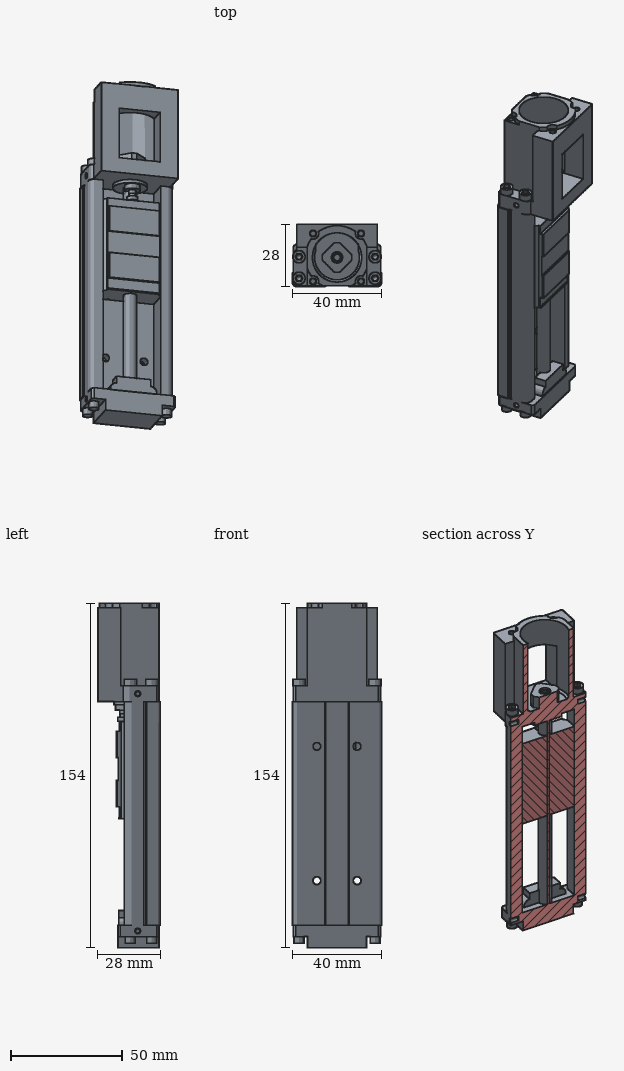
import cadquery as cq


tab_height = 5.0
lower_flange_height = 5.0
body_length = 100.0
upper_flange_height = 7.0
total_length = 154.0
cap_height = 2.0
body_bottom = tab_height + lower_flange_height
body_top = body_bottom + body_length
flange_top = body_top + upper_flange_height
cap_bottom = total_length - cap_height

body_half_width = 20.0
side_half_width = 19.6
body_back = 16.2
back_round = 3.2
front_round = 2.2
bulge_top = 6.1
bulge_slope = 0.4
groove_bottom = 6.6
groove_top = 7.5
groove_depth = 1.0
front_groove_half_width = 5.4
front_groove_depth = 0.4
channel_half_width = 13.5
channel_floor = 5.0
mount_hole_diameter = 3.4
mount_hole_x = 9.0
mount_hole_heights = (30.0, 90.0)

flange_front = 0.5
lower_flange_back = 19.0
upper_flange_back = 16.9
upper_flange_round = 3.0
flange_chamfer = 1.1
block_half_width = 13.25
side_hole_diameter = 2.0
side_hole_mouth = 2.5
side_hole_depth = 4.0
side_hole_y = 10.1
stop_back = 18.6
stop_half_width = 8.0
stop_height = 6.7
stop_lower_height = 3.5
stop_lower_round = 2.8

screw_x = 17.0
screw_ys = (3.8, 13.4)
screw_head_height = 3.0
upper_head_diameter = 5.5
lower_head_diameter = 4.5
socket_diameter = 3.3
socket_depth = 1.5
socket_tip_diameter = 2.4
socket_tip_depth = 0.7

axis_y = 13.1
plate_half_width = 18.0
plate_front = 17.6
plate_back = 28.0
plate_chamfer = 0.25
cap_radius = 14.2
bore_diameter = 22.0
bore_floor = flange_top
floor_chamfer = 1.0
window_half_width = 9.5
window_top = 140.5
motor_hole_offset = 10.7
motor_hole_diameter = 2.5
motor_hole_mouth = 3.0
motor_hole_depth = 6.0
motor_hole_clearance = 5.0
hub_width = 11.0
hub_corner_chamfer = 1.6
hub_height = 6.0
hub_hole_diameter = 3.0
hub_hole_step_diameter = 4.0
hub_hole_mouth_diameter = 5.0
hub_hole_step = 1.0

lead_screw_diameter = 6.0
bearing_boss_diameter = 15.4
bearing_boss_bottom = 108.5
stud_y = 16.6
stud_steps = (
    (7.0, 106.2, bearing_boss_bottom),
    (3.3, 104.5, 106.2),
    (3.0, 103.0, 104.5),
    (5.0, 101.2, 103.0),
)

carriage_bottom = 57.6
carriage_top = 101.0
shoulder_y = 16.0
shoulder_chamfer = 1.4
carriage_end_back = 18.3
carriage_middle_back = 18.9
pad_back = 19.7
pad_chamfer = 0.5
pad_length = 11.8
pad_bottoms = (63.0, 85.0)
lip_length = 0.6
lip_back = 18.5
underside_groove_center = 7.9
underside_groove_width = 0.8
underside_groove_depth = 0.5


def box(x_min, x_max, y_min, y_max, z_min, z_max):
    """Axis-aligned block between the given limits."""
    size = (x_max - x_min, y_max - y_min, z_max - z_min)
    return cq.Workplane("XY").box(*size, centered=False).translate((x_min, y_min, z_min))


def cylinder(diameter, x, y, z_min, z_max):
    """Upright round bar."""
    bar = cq.Workplane("XY", origin=(x, y, z_min)).circle(diameter / 2)
    return bar.extrude(z_max - z_min)


def cone(diameter, end_diameter, x, y, z, height):
    """Upright cone that starts at z; a negative height points it down."""
    direction = cq.Vector(0, 0, 1 if height > 0 else -1)
    solid = cq.Solid.makeCone(diameter / 2, end_diameter / 2, abs(height), cq.Vector(x, y, z), direction)
    return cq.Workplane(obj=solid)


def channel_body():
    """Extruded U channel with mounting holes through its floor."""
    half = (
        cq.Workplane("XY", origin=(0, 0, body_bottom))
        .moveTo(0, front_groove_depth)
        .lineTo(front_groove_half_width - front_groove_depth, front_groove_depth)
        .lineTo(front_groove_half_width, 0)
        .lineTo(body_half_width - front_round, 0)
        .radiusArc((body_half_width, front_round), -front_round)
        .lineTo(body_half_width, bulge_top)
        .lineTo(side_half_width, bulge_top + bulge_slope)
        .lineTo(side_half_width - groove_depth, groove_bottom)
        .lineTo(side_half_width - groove_depth, groove_top)
        .lineTo(side_half_width, groove_top)
        .lineTo(side_half_width, body_back - back_round)
        .radiusArc((side_half_width - back_round, body_back), -back_round)
        .lineTo(channel_half_width, body_back)
        .lineTo(channel_half_width, channel_floor)
        .lineTo(0, channel_floor)
        .close()
        .extrude(body_length)
    )
    body = half.union(half.mirror("YZ"))
    hole_points = [(x, z) for x in (-mount_hole_x, mount_hole_x) for z in mount_hole_heights]
    holes = (
        cq.Workplane("XZ")
        .pushPoints(hole_points)
        .circle(mount_hole_diameter / 2)
        .extrude(-channel_floor)
    )
    return body.cut(holes)


def cut_side_holes(flange, z):
    """Countersunk blind hole in each side of a flange."""
    mouth_depth = (side_hole_mouth - side_hole_diameter) / 2
    for side in (-1, 1):
        inward = cq.Vector(-side, 0, 0)
        mouth = cq.Vector(side * side_half_width, side_hole_y, z)
        hole = cq.Solid.makeCylinder(side_hole_diameter / 2, side_hole_depth, mouth, inward)
        sink = cq.Solid.makeCone(side_hole_mouth / 2, side_hole_diameter / 2, mouth_depth, mouth, inward)
        flange = flange.cut(cq.Workplane(obj=hole)).cut(cq.Workplane(obj=sink))
    return flange


def stop_block():
    """Carriage stop on the lower flange, on a wider foot with rounded shoulders."""
    lower_top = body_bottom + stop_lower_height
    foot_half_width = stop_half_width + stop_lower_round
    upper = box(-stop_half_width, stop_half_width, axis_y, stop_back, lower_top, body_bottom + stop_height)
    foot = box(-foot_half_width, foot_half_width, axis_y, stop_back, body_bottom, lower_top)
    foot = foot.edges("|Y and >Z").fillet(stop_lower_round)
    return upper.union(foot)


def lower_flange():
    """Lower flange with its tab, stop block and screw heads."""
    flange = box(-side_half_width, side_half_width, flange_front, lower_flange_back, tab_height, body_bottom)
    flange = flange.edges("|Z").chamfer(flange_chamfer)
    flange = cut_side_holes(flange, tab_height + lower_flange_height / 2)
    tab = box(-block_half_width, block_half_width, flange_front, lower_flange_back, 0, tab_height)
    flange = flange.union(tab).union(stop_block())
    for x in (-screw_x, screw_x):
        for y in screw_ys:
            head = cylinder(lower_head_diameter, x, y, tab_height - screw_head_height, tab_height)
            flange = flange.union(head)
    return flange


def socket_head(x, y):
    """Screw head on the upper flange with a hexagon socket ending in a drill point."""
    top = flange_top + screw_head_height
    socket = (
        cq.Workplane("XY", origin=(x, y, top - socket_depth))
        .polygon(6, socket_diameter)
        .extrude(socket_depth)
    )
    point = cone(socket_tip_diameter, 0, x, y, top - socket_depth, -socket_tip_depth)
    return cylinder(upper_head_diameter, x, y, flange_top, top).cut(socket).cut(point)


def upper_flange():
    """Upper flange, chamfered in front and rounded at the back."""
    flange = box(-side_half_width, side_half_width, flange_front, upper_flange_back, body_top, flange_top)
    flange = flange.edges("|Z and <Y").chamfer(flange_chamfer)
    flange = flange.edges("|Z and >Y").fillet(upper_flange_round)
    return cut_side_holes(flange, body_top + upper_flange_height / 2)


def motor_block():
    """Motor housing: narrow front block, wide back plate and raised cap ring."""
    block = box(-block_half_width, block_half_width, flange_front, plate_back - plate_chamfer,
                flange_top, cap_bottom)
    plate = box(-plate_half_width, plate_half_width, plate_front, plate_back, body_top, cap_bottom)
    plate = plate.edges("|Z and >Y").chamfer(plate_chamfer)
    foot = box(-plate_half_width, plate_half_width, upper_flange_back - upper_flange_round, plate_front,
               body_top, flange_top)
    cap = cylinder(2 * cap_radius, 0, axis_y, cap_bottom, total_length)
    cap_limit = box(-block_half_width, block_half_width, flange_front, plate_back, cap_bottom, total_length)
    return block.union(plate).union(foot).union(cap.intersect(cap_limit))


def motor_hub():
    """Coupling hub on the bore floor: a square set on its corner with a stepped hole."""
    top = bore_floor + hub_height
    hub = (
        cq.Workplane("XY", origin=(0, axis_y, bore_floor))
        .transformed(rotate=(0, 0, 45))
        .rect(hub_width, hub_width)
        .extrude(hub_height)
        .edges("|Z")
        .chamfer(hub_corner_chamfer)
    )
    hub = hub.cut(cylinder(hub_hole_diameter, 0, axis_y, bore_floor, top))
    hub = hub.cut(cylinder(hub_hole_step_diameter, 0, axis_y, top - 2 * hub_hole_step, top))
    return hub.cut(cylinder(hub_hole_mouth_diameter, 0, axis_y, top - hub_hole_step, top))


def cut_motor_bore(housing):
    """Motor bore with a conical corner at its floor and an access window in the back wall."""
    cone_top = bore_floor + floor_chamfer
    bore = cylinder(bore_diameter, 0, axis_y, cone_top, total_length)
    floor_cone = cone(bore_diameter, bore_diameter - 2 * floor_chamfer, 0, axis_y, cone_top, -floor_chamfer)
    window = box(-window_half_width, window_half_width, axis_y, plate_back, bore_floor, window_top)
    return housing.cut(bore).cut(floor_cone).cut(window)


def cut_motor_holes(housing):
    """Four countersunk motor holes, each with a round clearance in the cap."""
    mouth_depth = (motor_hole_mouth - motor_hole_diameter) / 2
    for x in (-motor_hole_offset, motor_hole_offset):
        for y in (axis_y - motor_hole_offset, axis_y + motor_hole_offset):
            clearance = cylinder(motor_hole_clearance, x, y, cap_bottom, total_length)
            hole = cylinder(motor_hole_diameter, x, y, cap_bottom - motor_hole_depth, cap_bottom)
            sink = cone(motor_hole_mouth, motor_hole_diameter, x, y, cap_bottom, -mouth_depth)
            housing = housing.cut(clearance).cut(hole).cut(sink)
    return housing


def motor_housing():
    """Upper flange and motor block with all cuts, coupling hub and screw heads."""
    housing = upper_flange().union(motor_block())
    housing = cut_motor_holes(cut_motor_bore(housing)).union(motor_hub())
    for x in (-screw_x, screw_x):
        for y in screw_ys:
            housing = housing.union(socket_head(x, y))
    return housing


def lead_screw():
    """Lead screw between the flanges, with the bearing boss and stepped stud at its upper end."""
    screw = cylinder(lead_screw_diameter, 0, axis_y, body_bottom, body_top)
    screw = screw.union(cylinder(bearing_boss_diameter, 0, axis_y, bearing_boss_bottom, body_top))
    for diameter, bottom, top in stud_steps:
        screw = screw.union(cylinder(diameter, 0, stud_y, bottom, top))
    return screw


def make_actuator():
    """Fixed part of the actuator as one solid."""
    return channel_body().union(lower_flange()).union(motor_housing()).union(lead_screw())


def make_carriage():
    """Sliding block with two raised pads, bored for the lead screw."""
    top_half_width = channel_half_width - shoulder_chamfer
    length = carriage_top - carriage_bottom
    carriage = (
        cq.Workplane("XY", origin=(0, 0, carriage_bottom))
        .moveTo(-channel_half_width, channel_floor)
        .lineTo(channel_half_width, channel_floor)
        .lineTo(channel_half_width, shoulder_y)
        .lineTo(top_half_width, shoulder_y + shoulder_chamfer)
        .lineTo(top_half_width, carriage_end_back)
        .lineTo(-top_half_width, carriage_end_back)
        .lineTo(-top_half_width, shoulder_y + shoulder_chamfer)
        .lineTo(-channel_half_width, shoulder_y)
        .close()
        .extrude(length)
    )
    middle = box(-top_half_width, top_half_width, carriage_end_back, carriage_middle_back,
                 pad_bottoms[0], pad_bottoms[-1] + pad_length)
    lip = box(-top_half_width, top_half_width, shoulder_y, lip_back,
              carriage_bottom, carriage_bottom + lip_length)
    carriage = carriage.union(middle).union(lip)
    for bottom in pad_bottoms:
        pad = box(-top_half_width, top_half_width, carriage_end_back, pad_back, bottom, bottom + pad_length)
        carriage = carriage.union(pad.edges("|Z and >Y").chamfer(pad_chamfer))
    groove = box(underside_groove_center - underside_groove_width / 2,
                 underside_groove_center + underside_groove_width / 2,
                 channel_floor, channel_floor + underside_groove_depth, carriage_bottom, carriage_top)
    screw_hole = cylinder(lead_screw_diameter, 0, axis_y, carriage_bottom, carriage_top)
    return carriage.cut(groove).cut(screw_hole)


actuator = make_actuator()
carriage = make_carriage()
result = cq.Compound.makeCompound([actuator.val(), carriage.val()])